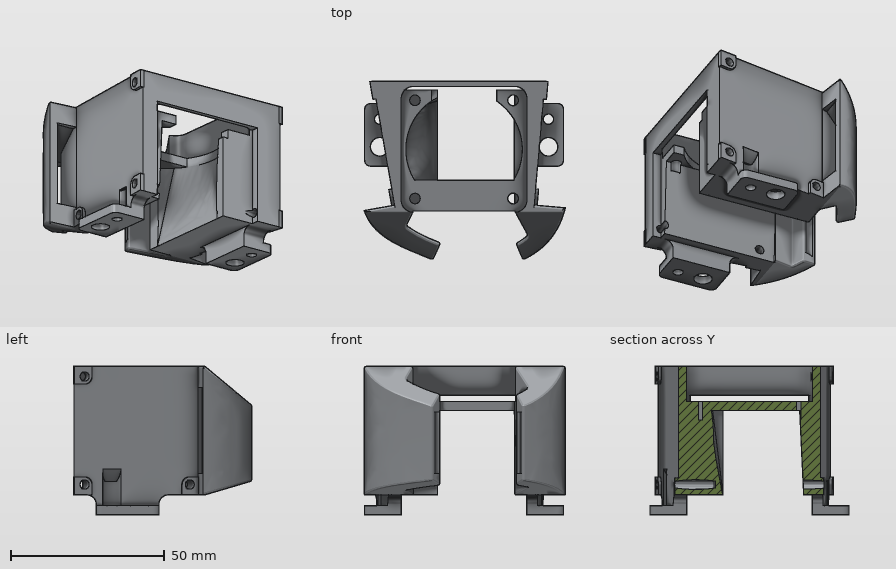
import cadquery as cq
import math

BODY_HEIGHT = 42.0
BACK_Y = 22.25
FRONT_Y = -20.1
LEFT, RIGHT = -1, 1
WALL_ANGLE = {LEFT: 10.0, RIGHT: 5.0}
WALL_FRONT_X = {LEFT: 22.3, RIGHT: 22.7}

FAN_POCKET = 41.0
POCKET_RADIUS = 4.0
SHELF_TOP = 30.5
SHELF_THICKNESS = 3.0
SHELF_BOTTOM = SHELF_TOP - SHELF_THICKNESS
SHELF_BACK_Y = 19.4
SHELF_GAP_HALF = 10.6
FAN_RADIUS = 19.0
FAN_OPENING_FRONT_Y = -10.0
FAN_HOLE_SPACING = 32.0
FAN_HOLE_DIAMETER = 3.45
FAN_HOLE_DEPTH = 6.0
BACK_BAR_BOTTOM = 32.5

DUCT_LEFT_X = -8.6
DUCT_RIGHT_TOP_X = 16.3
DUCT_RIGHT_BOTTOM_X = 17.6
DUCT_LENGTH = 32.0
BOWL_SEAM_ANGLE = 225.0

EAR_SIZE = 5.9
EAR_RADIUS = 2.5
EAR_THICKNESS = 1.0
EAR_ROOT = 0.5
EAR_HOLE_DIAMETER = 3.0
LOWER_EAR_HOLE_DEPTH = 12.0
UPPER_EAR_HOLE_DEPTH = 6.0
EAR_HOLE_INSET = 3.4
FRONT_EAR_Y = -18.7

TAB_OUTER_X = 32.45
TAB_INNER_X = 20.4
TAB_FRONT_Y, TAB_BACK_Y = -5.5, 15.0
TAB_BOTTOM = -6.5
TAB_THICKNESS = 3.0
TAB_TOP = TAB_BOTTOM + TAB_THICKNESS
TAB_RADIUS = 2.0
NECK_FILLET = 3.0
TAB_HOLE_X = 27.5
TAB_SMALL_HOLE_Y, TAB_SMALL_DIAMETER = 9.85, 3.3
TAB_LARGE_HOLE_Y, TAB_LARGE_DIAMETER = 0.85, 6.0
RELIEF_RADIUS = 3.0
RELIEF_TOP = 8.4
RELIEF_SLOPE_DEPTH, RELIEF_SLOPE_HEIGHT = 2.35, 4.0

WING_TIP_Y = -36.0
WING_TIP_TOP, WING_TIP_BOTTOM = 29.0, 4.6
WING_ROUND = 0.8
WING_CREASE_Y = -20.4
WING_ROUND_START_Y = -20.6
WING_REACH = 40.0
SLOT_BOTTOM = 7.0
SLOT_BACK_INNER_X, SLOT_BACK_OUTER_X = 23.0, 30.2
SLOT_TIP_SHARE = (0.17, 0.7)
SLOT_TOP_BACK, SLOT_TOP_TIP = 35.0, 27.0
WING_ROOT = (16.5, FRONT_Y)
WING_PLAN = {
    LEFT: {
        "notch": (18.8, -24.8),
        "inner_mid": (13.4, -28.0),
        "tip_inner": (7.6, -30.4),
        "tip_outer": (10.2, WING_TIP_Y),
        "outer_curve": [(20.4, -31.7), (29.1, -25.7)],
        "back_outer": (32.6, -19.9),
        "slot_outer_curve": [(19.4, -30.3), (26.9, -25.4)],
        "slot_inner_mid": (13.6, -29.3),
        "slot_notch": (20.4, -25.0),
    },
    RIGHT: {
        "notch": (20.8, -28.0),
        "inner_mid": (18.9, -29.4),
        "tip_inner": (16.9, -30.6),
        "tip_outer": (19.2, WING_TIP_Y),
        "outer_curve": [(28.2, -29.1)],
        "back_outer": (33.05, -19.0),
        "slot_outer_curve": [(26.4, -28.6)],
        "slot_inner_mid": (19.6, -29.8),
        "slot_notch": (21.8, -28.0),
    },
}


def wall_x(side, y):
    """Signed X of the outer face of a side wall at the given Y."""
    reach = WALL_FRONT_X[side] + (y - FRONT_Y) * math.tan(math.radians(WALL_ANGLE[side]))
    return side * reach


def block(x0, x1, y0, y1, z0, z1):
    return cq.Workplane("XY").box(x1 - x0, y1 - y0, z1 - z0, centered=False).translate((x0, y0, z0))


def make_body():
    outline = [
        (wall_x(LEFT, BACK_Y), BACK_Y),
        (wall_x(RIGHT, BACK_Y), BACK_Y),
        (wall_x(RIGHT, FRONT_Y), FRONT_Y),
        (wall_x(LEFT, FRONT_Y), FRONT_Y),
    ]
    return cq.Workplane("XY").polyline(outline).close().extrude(BODY_HEIGHT)


def make_fan_pocket():
    return (
        cq.Workplane("XY").workplane(offset=SHELF_TOP)
        .rect(FAN_POCKET, FAN_POCKET).extrude(BODY_HEIGHT - SHELF_TOP)
        .edges("|Z").fillet(POCKET_RADIUS)
    )


def make_shelf_opening():
    opening = (
        cq.Workplane("XY").workplane(offset=SHELF_BOTTOM)
        .circle(FAN_RADIUS).extrude(SHELF_THICKNESS)
        .intersect(block(-FAN_RADIUS, FAN_RADIUS, FAN_OPENING_FRONT_Y, FAN_RADIUS, SHELF_BOTTOM, SHELF_TOP))
    )
    gap = block(-SHELF_GAP_HALF, SHELF_GAP_HALF, 0, SHELF_BACK_Y, SHELF_BOTTOM, SHELF_TOP)
    return opening.union(gap)


def make_duct_spaces():
    """Passage open at front and back, a bowl up to the round fan opening, and the open back."""
    profile = [
        (DUCT_LEFT_X, 0),
        (DUCT_RIGHT_BOTTOM_X, 0),
        (DUCT_RIGHT_TOP_X, SHELF_BOTTOM),
        (DUCT_LEFT_X, SHELF_BOTTOM),
    ]
    passage = (
        cq.Workplane("XZ", origin=(0, BACK_Y, 0))
        .polyline(profile).close().extrude(BACK_Y - FRONT_Y)
    )
    centre_x = (DUCT_LEFT_X + DUCT_RIGHT_BOTTOM_X) / 2
    bowl = (
        cq.Workplane("XY")
        .center(centre_x, 0).rect(DUCT_RIGHT_BOTTOM_X - DUCT_LEFT_X, DUCT_LENGTH)
        .workplane(offset=SHELF_BOTTOM).center(-centre_x, 0)
        .transformed(rotate=(0, 0, BOWL_SEAM_ANGLE)).circle(FAN_RADIUS)
        .loft(ruled=True)
    )
    half = FAN_POCKET / 2
    back_window = block(-half, half, SHELF_BACK_Y, half, 0, BACK_BAR_BOTTOM)
    back_window = back_window.union(block(-half, half, half, BACK_Y, 0, BACK_BAR_BOTTOM))
    return passage, bowl, back_window


def make_fan_holes():
    return (
        cq.Workplane("XY").workplane(offset=SHELF_TOP - FAN_HOLE_DEPTH)
        .rect(FAN_HOLE_SPACING, FAN_HOLE_SPACING, forConstruction=True).vertices()
        .circle(FAN_HOLE_DIAMETER / 2).extrude(FAN_HOLE_DEPTH)
    )


def wall_plane(side, y):
    """Plane on the outer wall face: local X towards +Y, local Y along Z, normal pointing outward."""
    lean = math.radians(WALL_ANGLE[side])
    normal = (side * math.cos(lean), -math.sin(lean), 0)
    along = (side * math.sin(lean), math.cos(lean), 0)
    return cq.Plane(origin=(wall_x(side, y), y, 0), xDir=along, normal=normal)


def ear_places():
    """(Y of the ear edge, way into the wall along Y, Z edge, way into the wall along Z, hole depth)."""
    return [
        (BACK_Y, -1, 0, 1, LOWER_EAR_HOLE_DEPTH),
        (BACK_Y, -1, BODY_HEIGHT, -1, UPPER_EAR_HOLE_DEPTH),
        (FRONT_EAR_Y, 1, 0, 1, LOWER_EAR_HOLE_DEPTH),
    ]


def make_ear(side, y_edge, y_way, z_edge, z_way, hole_depth):
    """Square pad with one rounded corner, and the screw hole drilled through it into the wall."""
    plane = wall_plane(side, y_edge)
    up = plane.yDir.z
    far_y = y_way * EAR_SIZE
    near_z = z_edge * up
    far_z = (z_edge + z_way * EAR_SIZE) * up
    round_y = y_way * (EAR_SIZE - EAR_RADIUS)
    round_z = (z_edge + z_way * (EAR_SIZE - EAR_RADIUS)) * up
    diagonal = EAR_RADIUS * math.sqrt(0.5)
    pad = (
        cq.Workplane(plane).workplane(offset=-EAR_ROOT)
        .moveTo(0, near_z).lineTo(far_y, near_z).lineTo(far_y, round_z)
        .threePointArc(
            (round_y + y_way * diagonal, round_z + z_way * up * diagonal),
            (round_y, far_z),
        )
        .lineTo(0, far_z).close().extrude(EAR_ROOT + EAR_THICKNESS)
    )
    hole = (
        cq.Workplane(plane).workplane(offset=-hole_depth)
        .center(y_way * EAR_HOLE_INSET, (z_edge + z_way * EAR_HOLE_INSET) * up)
        .circle(EAR_HOLE_DIAMETER / 2).extrude(hole_depth + 2 * EAR_THICKNESS)
    )
    return pad, hole


def make_tab(side):
    """Foot plate with its neck, flared into the underside of the side wall."""
    depth = TAB_BACK_Y - TAB_FRONT_Y
    mid_y = (TAB_BACK_Y + TAB_FRONT_Y) / 2
    width = TAB_OUTER_X - TAB_INNER_X
    outer = ">X" if side == RIGHT else "<X"
    plate = (
        cq.Workplane("XY", origin=(side * (TAB_INNER_X + width / 2), mid_y, TAB_BOTTOM))
        .rect(width, depth).extrude(TAB_THICKNESS)
        .edges("|Z").edges(outer).fillet(TAB_RADIUS)
    )
    back_flare = TAB_BACK_Y + NECK_FILLET
    front_flare = TAB_FRONT_Y - NECK_FILLET
    neck_outline = [
        (side * TAB_INNER_X, front_flare),
        (wall_x(side, front_flare), front_flare),
        (wall_x(side, back_flare), back_flare),
        (side * TAB_INNER_X, back_flare),
    ]
    neck = cq.Workplane("XY", origin=(0, 0, TAB_TOP)).polyline(neck_outline).close().extrude(-TAB_TOP)
    for flare_y, way in ((back_flare, 1), (front_flare, -1)):
        y_near, y_far = sorted((flare_y, flare_y - way * NECK_FILLET))
        corner = block(-TAB_OUTER_X, TAB_OUTER_X, y_near, y_far, TAB_TOP, -NECK_FILLET)
        flare = (
            cq.Workplane("YZ", origin=(-TAB_OUTER_X, flare_y, -NECK_FILLET))
            .circle(NECK_FILLET).extrude(2 * TAB_OUTER_X)
        )
        neck = neck.cut(corner).cut(flare)
    return plate.union(neck)


def make_tab_cuts(side):
    """Both tab holes, and the screw relief in the wall above the small hole."""
    hole_x = side * TAB_HOLE_X
    cuts = cq.Workplane("XY")
    for y, diameter in ((TAB_SMALL_HOLE_Y, TAB_SMALL_DIAMETER), (TAB_LARGE_HOLE_Y, TAB_LARGE_DIAMETER)):
        hole = (
            cq.Workplane("XY", origin=(hole_x, y, TAB_BOTTOM))
            .circle(diameter / 2).extrude(TAB_THICKNESS)
        )
        cuts = cuts.union(hole)
    ledge_z = RELIEF_TOP - RELIEF_SLOPE_HEIGHT
    envelope_profile = [
        (hole_x + side * 2 * RELIEF_RADIUS, TAB_TOP),
        (hole_x - side * 2 * RELIEF_RADIUS, TAB_TOP),
        (hole_x - side * 2 * RELIEF_RADIUS, ledge_z),
        (hole_x - side * RELIEF_SLOPE_DEPTH, ledge_z),
        (hole_x, RELIEF_TOP),
        (hole_x + side * 2 * RELIEF_RADIUS, RELIEF_TOP),
    ]
    axis_start = (hole_x, TAB_SMALL_HOLE_Y, 0)
    axis_end = (hole_x, TAB_SMALL_HOLE_Y, 1)
    relief = (
        cq.Workplane("XZ", origin=(0, TAB_SMALL_HOLE_Y + 2 * RELIEF_RADIUS, 0))
        .polyline(envelope_profile).close().extrude(4 * RELIEF_RADIUS)
        .rotate(axis_start, axis_end, -side * WALL_ANGLE[side])
        .intersect(
            cq.Workplane("XY", origin=(hole_x, TAB_SMALL_HOLE_Y, TAB_TOP))
            .circle(RELIEF_RADIUS).extrude(RELIEF_TOP - TAB_TOP)
        )
    )
    return cuts.union(relief)


def wing_points(side):
    """Signed plan points of one wing; the curves are lists of points."""
    points = {}
    for name, place in WING_PLAN[side].items():
        if isinstance(place, list):
            points[name] = [(side * x, y) for x, y in place]
        else:
            points[name] = (side * place[0], place[1])
    return points


def wing_back_point(side, x):
    """Plan point on the back face of a wing, square to the side wall, x outward from the fan axis."""
    outer_x, outer_y = WING_PLAN[side]["back_outer"]
    return (side * x, outer_y + (outer_x - x) * math.tan(math.radians(WALL_ANGLE[side])))


def make_wing(side):
    """Solid wing with sloping top and bottom, rounded along its free edges."""
    plan = wing_points(side)
    outline = (
        cq.Workplane("XY").moveTo(side * WING_ROOT[0], WING_ROOT[1]).lineTo(*plan["notch"])
        .threePointArc(plan["inner_mid"], plan["tip_inner"])
        .lineTo(*plan["tip_outer"])
        .spline(plan["outer_curve"] + [plan["back_outer"]], includeCurrent=True)
        .lineTo(*wing_back_point(side, FAN_POCKET / 2)).close().extrude(BODY_HEIGHT)
    )
    profile = [
        (BACK_Y, 0),
        (WING_CREASE_Y, 0),
        (WING_TIP_Y, WING_TIP_BOTTOM),
        (WING_TIP_Y, WING_TIP_TOP),
        (WING_CREASE_Y, BODY_HEIGHT),
        (BACK_Y, BODY_HEIGHT),
    ]
    crease = cq.selectors.NearestToPointSelector((0, WING_CREASE_Y, BODY_HEIGHT))
    slopes = (
        cq.Workplane("YZ", origin=(-WING_REACH, 0, 0))
        .polyline(profile).close().extrude(2 * WING_REACH)
        .edges(crease).fillet(WING_ROUND)
    )
    free_edges = cq.selectors.BoxSelector(
        (-WING_REACH, WING_TIP_Y - 1, -1), (WING_REACH, WING_ROUND_START_Y, BODY_HEIGHT + 1)
    )
    wing = outline.intersect(slopes).edges(free_edges).fillet(WING_ROUND)
    return wing.cut(make_back_edge_trim(side))


def make_back_edge_trim(side):
    """Sliver that, cut away, rounds the top edge of the wing's back face outside the side wall."""
    lean = math.radians(WALL_ANGLE[side])
    wall_corner = wing_back_point(side, SLOT_BACK_INNER_X - 2 * WING_ROUND)
    outward = (side * math.cos(lean), -math.sin(lean), 0)
    edge_plane = cq.Plane(
        origin=(*wall_corner, BODY_HEIGHT),
        xDir=(side * math.sin(lean), math.cos(lean), 0),
        normal=outward,
    )
    down = -edge_plane.yDir.z
    diagonal = WING_ROUND * (1 - math.sqrt(0.5))
    return (
        cq.Workplane(edge_plane).lineTo(-WING_ROUND, 0)
        .threePointArc((-diagonal, down * diagonal), (0, down * WING_ROUND))
        .close().extrude(WING_REACH)
    )


def make_wing_slot(side):
    """Passage through a wing from its back face to its tip face."""
    plan = wing_points(side)
    inner, outer = plan["tip_inner"], plan["tip_outer"]
    tip_edges = [
        tuple(start + share * (end - start) for start, end in zip(inner, outer))
        for share in SLOT_TIP_SHARE
    ]
    slot_back_outer = wing_back_point(side, SLOT_BACK_OUTER_X)
    outline = (
        cq.Workplane("XY").moveTo(*wing_back_point(side, SLOT_BACK_INNER_X)).lineTo(*plan["slot_notch"])
        .threePointArc(plan["slot_inner_mid"], tip_edges[0])
        .lineTo(*tip_edges[1])
        .spline(plan["slot_outer_curve"] + [slot_back_outer], includeCurrent=True)
        .close().extrude(BODY_HEIGHT)
    )
    profile = [
        (WING_TIP_Y, SLOT_BOTTOM),
        (WING_TIP_Y, SLOT_TOP_TIP),
        (inner[1], SLOT_TOP_TIP),
        (FRONT_Y, SLOT_TOP_BACK),
        (0, SLOT_TOP_BACK),
        (0, SLOT_BOTTOM),
    ]
    slopes = (
        cq.Workplane("YZ", origin=(-WING_REACH, 0, 0))
        .polyline(profile).close().extrude(2 * WING_REACH)
    )
    return outline.intersect(slopes)


result = make_body()
ear_holes = cq.Workplane("XY")
for wall_side in (LEFT, RIGHT):
    result = result.union(make_wing(wall_side)).union(make_tab(wall_side))
    result = result.cut(make_tab_cuts(wall_side)).cut(make_wing_slot(wall_side))
    for place in ear_places():
        ear, ear_hole = make_ear(wall_side, *place)
        result = result.union(ear)
        ear_holes = ear_holes.union(ear_hole)
result = result.cut(make_fan_pocket()).cut(make_shelf_opening())
for space in make_duct_spaces():
    result = result.cut(space)
result = result.cut(make_fan_holes()).cut(ear_holes)